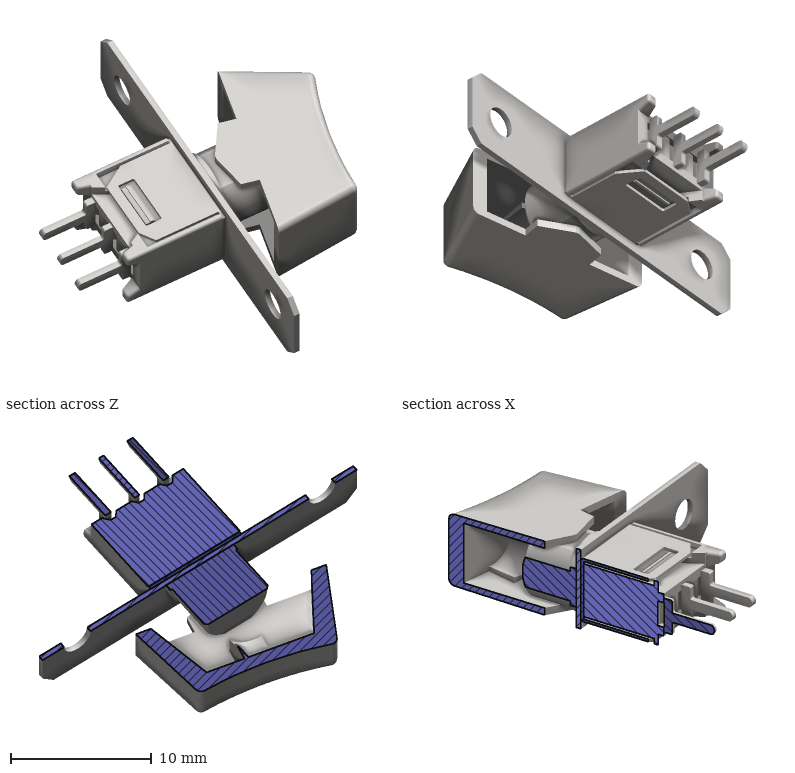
import cadquery as cq


PLATE_LENGTH = 27.8
PLATE_HEIGHT = 6.4
PLATE_THICKNESS = 0.45
PLATE_CORNER = 0.97
MOUNT_HOLE_DIAMETER = 2.3
MOUNT_HOLE_SPACING = 21.63

COLLAR_DIAMETER = 6.0
COLLAR_LENGTH = 0.5
BUSHING_DIAMETER = 5.67
BUSHING_FLATS = 4.67
BUSHING_TOP_Y = 4.95
BUSHING_CHAMFER = 0.22

CLIP_SHEET = 0.25
CLIP_HEIGHT = 5.12
CLIP_BEND_RADIUS = 0.22
WEB_LENGTH = 8.0
WEB_CORNER_HEIGHT = 0.25
FLAP_HALF_WIDTH = 3.48
FLAP_END_Y = -6.1
FLAP_TIP_HALF_WIDTH = 2.3
FLAP_LEFT_SHOULDER_Y = -4.3
FLAP_RIGHT_SHOULDER_Y = -5.35
WINDOW_WIDTH = 4.05
WINDOW_NEAR_Y = -4.03
WINDOW_FAR_Y = -5.35
WINDOW_CORNER = 0.15

HOUSING_LENGTH = 8.15
HOUSING_HEIGHT = 5.15
HOUSING_END_Y = -7.0
HOUSING_EDGE_RADIUS = 0.22
FLAP_RECESS_DEPTH = 0.42
FLAP_RECESS_TOP_HALF = 3.7
FLAP_RECESS_FLOOR_HALF = 3.55
FLAP_RECESS_END_Y = -6.17
END_NOTCH_DEPTH = 0.85
END_NOTCH_OUTER_HALF = 2.8
END_NOTCH_INNER_HALF = 1.78
END_NOTCH_INNER_Y = -5.2
FOOT_TIP_Y = -8.03
FOOT_BASE_SIZE = (1.15, 1.1)
FOOT_TIP_SIZE = (0.8, 0.72)
LATCH_START_Y = -4.28
LATCH_CREST_Y = -4.67
LATCH_CREST_END_Y = -4.85
LATCH_CREST_HEIGHT = 0.3
LATCH_STEP_HEIGHT = 0.2
SLOT_LENGTH = 6.12
SLOT_HEIGHT = 1.95
SLOT_DEPTH = 0.08
FUNNEL_WIDTH = 1.1
FUNNEL_FLOOR_WIDTH = 0.45
FUNNEL_DEPTH = 0.42

TERMINAL_OFFSET = 2.55
OUTER_TERMINAL_WIDTH = 0.53
MIDDLE_TERMINAL_WIDTH = 0.45
HEAD_HEIGHT = 2.78
HEAD_LENGTH = 0.72
HEAD_CHAMFER = 0.08
BLADE_HEIGHT = 0.78
BLADE_ROOT_RADIUS = 0.17
BLADE_TIP_Y = -11.31
BLADE_TIP_BULGE = 0.25

ROCKER_TILT = -12.5
ROCKER_RIM_Y = 4.15
RIM_HALF_LENGTH = 7.42
TOP_HALF_LENGTH = 5.37
TOP_CORNER_V = 6.6
TOP_MIDDLE_V = 6.05
TAB_HALF_LENGTH = 2.8
TAB_SHOULDER_V = -1.4
TAB_TIP_V = -2.42
TAB_TIP_WIDTH = 0.28
ROCKER_LOW_HALF_HEIGHT = 3.0
ROCKER_TOP_HALF_HEIGHT = 2.9
ROCKER_EDGE_RADIUS = 0.5
CAVITY_HALF_HEIGHT = 2.4
CAVITY_ROOF_V = 5.1
CAVITY_RIM_HALF_LENGTH = 6.23
CAVITY_ROOF_HALF_LENGTH = 4.17
HUB_HALF_LENGTH = 1.25
HUB_BOTTOM_V = 2.55
HUB_BORE_RADIUS = 2.0

HOUSING_TOP_Y = -CLIP_SHEET
HOUSING_HALF_LENGTH = HOUSING_LENGTH / 2
HOUSING_HALF_HEIGHT = HOUSING_HEIGHT / 2


def block(x_range, y_range, z_range):
    """Box given by its limits along X, Y and Z."""
    (x0, x1), (y0, y1), (z0, z1) = x_range, y_range, z_range
    return cq.Workplane("XY").box(x1 - x0, y1 - y0, z1 - z0, centered=False).translate((x0, y0, z0))


def y_plane(y):
    """Sketch plane facing +Y at the given Y; its directions are -X and +Z."""
    return cq.Workplane(cq.Plane(origin=(0, y, 0), xDir=(-1, 0, 0), normal=(0, 1, 0)))


def both_z_sides(feature):
    """The feature together with its mirror image in the Z = 0 plane."""
    return feature.union(feature.mirror("XY"))


def make_plate():
    plate = y_plane(0).rect(PLATE_LENGTH, PLATE_HEIGHT).extrude(PLATE_THICKNESS)
    plate = plate.edges("|Y").chamfer(PLATE_CORNER)
    half_spacing = MOUNT_HOLE_SPACING / 2
    holes = y_plane(0).pushPoints([(-half_spacing, 0), (half_spacing, 0)])
    return plate.cut(holes.circle(MOUNT_HOLE_DIAMETER / 2).extrude(PLATE_THICKNESS))


def make_bushing():
    collar = y_plane(PLATE_THICKNESS).circle(COLLAR_DIAMETER / 2).extrude(COLLAR_LENGTH)
    barrel_y = PLATE_THICKNESS + COLLAR_LENGTH
    barrel_length = BUSHING_TOP_Y - barrel_y
    barrel = y_plane(barrel_y).circle(BUSHING_DIAMETER / 2).extrude(barrel_length)
    barrel = barrel.faces(">Y").chamfer(BUSHING_CHAMFER)
    flats = y_plane(barrel_y).rect(BUSHING_DIAMETER, BUSHING_FLATS).extrude(barrel_length)
    return collar.union(barrel.intersect(flats))


def make_clip():
    """Web under the plate with one flap bent along each Z side of the housing."""
    half_web = WEB_LENGTH / 2
    half_height = CLIP_HEIGHT / 2
    low = half_height - WEB_CORNER_HEIGHT
    web_outline = [
        (-half_web, -low), (-FLAP_HALF_WIDTH, -half_height),
        (FLAP_HALF_WIDTH, -half_height), (half_web, -low),
        (half_web, low), (FLAP_HALF_WIDTH, half_height),
        (-FLAP_HALF_WIDTH, half_height), (-half_web, low),
    ]
    web = y_plane(-CLIP_SHEET).polyline(web_outline).close().extrude(CLIP_SHEET)
    flap_outline = [
        (-FLAP_HALF_WIDTH, 0), (-FLAP_HALF_WIDTH, FLAP_LEFT_SHOULDER_Y), (-FLAP_TIP_HALF_WIDTH, FLAP_END_Y),
        (FLAP_TIP_HALF_WIDTH, FLAP_END_Y), (FLAP_HALF_WIDTH, FLAP_RIGHT_SHOULDER_Y), (FLAP_HALF_WIDTH, 0),
    ]
    flap_bottom = cq.Workplane("XY").workplane(offset=half_height - CLIP_SHEET)
    flap = flap_bottom.polyline(flap_outline).close().extrude(CLIP_SHEET)
    half_window = WINDOW_WIDTH / 2
    window = block((-half_window, half_window), (WINDOW_FAR_Y, WINDOW_NEAR_Y), (0, half_height))
    flap = flap.cut(window.edges("|Z").fillet(WINDOW_CORNER))
    clip = web.union(both_z_sides(flap))
    return clip.edges(">Y").edges("|X").edges(">Z or <Z").fillet(CLIP_BEND_RADIUS)


def make_foot():
    """Tapered foot at the -X, +Z corner of the housing, rounded except along its innermost edge."""
    def section(y, size):
        width, height = size
        corner = y_plane(y).center(HOUSING_HALF_LENGTH, HOUSING_HALF_HEIGHT)
        return corner.polyline([(0, 0), (-width, 0), (-width, -height), (0, -height)]).close().wires().val()

    base = section(HOUSING_END_Y, FOOT_BASE_SIZE)
    tip = section(FOOT_TIP_Y, FOOT_TIP_SIZE)
    foot = cq.Solid.makeLoft([base, tip], True)
    innermost = (
        -HOUSING_HALF_LENGTH + (FOOT_BASE_SIZE[0] + FOOT_TIP_SIZE[0]) / 2,
        (HOUSING_END_Y + FOOT_TIP_Y) / 2,
        HOUSING_HALF_HEIGHT - (FOOT_BASE_SIZE[1] + FOOT_TIP_SIZE[1]) / 2,
    )
    rounded = cq.selectors.SubtractSelector(
        cq.selectors.StringSyntaxSelector("not >Y"), cq.selectors.NearestToPointSelector(innermost)
    )
    return cq.Workplane(foot).edges(rounded).fillet(HOUSING_EDGE_RADIUS)


def make_flap_recess():
    floor_z = HOUSING_HALF_HEIGHT - FLAP_RECESS_DEPTH
    outline = [
        (FLAP_RECESS_FLOOR_HALF, floor_z), (FLAP_RECESS_TOP_HALF, HOUSING_HALF_HEIGHT),
        (-FLAP_RECESS_TOP_HALF, HOUSING_HALF_HEIGHT), (-FLAP_RECESS_FLOOR_HALF, floor_z),
    ]
    start = y_plane(FLAP_RECESS_END_Y).polyline(outline).close()
    return start.extrude(HOUSING_TOP_Y - FLAP_RECESS_END_Y)


def make_end_notch():
    outline = [
        (-END_NOTCH_OUTER_HALF, HOUSING_END_Y), (-END_NOTCH_INNER_HALF, END_NOTCH_INNER_Y),
        (END_NOTCH_INNER_HALF, END_NOTCH_INNER_Y), (END_NOTCH_OUTER_HALF, HOUSING_END_Y),
    ]
    floor = cq.Workplane("XY").workplane(offset=HOUSING_HALF_HEIGHT - END_NOTCH_DEPTH)
    return floor.polyline(outline).close().extrude(END_NOTCH_DEPTH)


def make_latch():
    """Ramped latch in the window of the flap, flush with the inner wall of the end notch."""
    floor_z = HOUSING_HALF_HEIGHT - FLAP_RECESS_DEPTH
    crest_z = floor_z + LATCH_CREST_HEIGHT
    step_z = floor_z + LATCH_STEP_HEIGHT
    outline = [
        (LATCH_START_Y, floor_z), (LATCH_CREST_Y, crest_z), (LATCH_CREST_END_Y, crest_z),
        (LATCH_CREST_END_Y, step_z), (END_NOTCH_INNER_Y, step_z), (END_NOTCH_INNER_Y, floor_z),
    ]
    return cq.Workplane("YZ").polyline(outline).close().extrude(END_NOTCH_INNER_HALF, both=True)


def make_funnel(x):
    """Recess with sloping X sides around one terminal."""
    slot_floor_y = HOUSING_END_Y + SLOT_DEPTH
    outline = [
        (x - FUNNEL_WIDTH / 2, HOUSING_END_Y), (x - FUNNEL_WIDTH / 2, slot_floor_y),
        (x - FUNNEL_FLOOR_WIDTH / 2, slot_floor_y + FUNNEL_DEPTH),
        (x + FUNNEL_FLOOR_WIDTH / 2, slot_floor_y + FUNNEL_DEPTH),
        (x + FUNNEL_WIDTH / 2, slot_floor_y), (x + FUNNEL_WIDTH / 2, HOUSING_END_Y),
    ]
    return cq.Workplane("XY").polyline(outline).close().extrude(SLOT_HEIGHT / 2, both=True)


def make_housing():
    end_plane = y_plane(HOUSING_END_Y)
    housing = end_plane.rect(HOUSING_LENGTH, HOUSING_HEIGHT).extrude(HOUSING_TOP_Y - HOUSING_END_Y)
    housing = housing.edges("|Y").fillet(HOUSING_EDGE_RADIUS)
    foot = make_foot()
    housing = housing.union(both_z_sides(foot.union(foot.mirror("YZ"))))
    housing = housing.cut(both_z_sides(make_flap_recess()))
    housing = housing.cut(both_z_sides(make_end_notch()))
    housing = housing.union(both_z_sides(make_latch()))
    housing = housing.cut(end_plane.rect(SLOT_LENGTH, SLOT_HEIGHT).extrude(SLOT_DEPTH))
    funnel_offset = (SLOT_LENGTH - FUNNEL_WIDTH) / 2
    for x in (-funnel_offset, 0, funnel_offset):
        housing = housing.cut(make_funnel(x))
    return housing


def make_terminal(x, width):
    """T-shaped terminal: the head rests on the end of the housing, the blade points to -Y."""
    head_end_y = HOUSING_END_Y - HEAD_LENGTH
    x_range = (x - width / 2, x + width / 2)
    head = block(x_range, (head_end_y, HOUSING_END_Y), (-HEAD_HEIGHT / 2, HEAD_HEIGHT / 2))
    head = head.faces("<Y").edges("|X").chamfer(HEAD_CHAMFER)
    half_blade = BLADE_HEIGHT / 2
    arc_start_y = BLADE_TIP_Y + BLADE_TIP_BULGE
    blade = (
        cq.Workplane("YZ", origin=(x, 0, 0))
        .moveTo(head_end_y, half_blade)
        .lineTo(arc_start_y, half_blade)
        .threePointArc((BLADE_TIP_Y, 0), (arc_start_y, -half_blade))
        .lineTo(head_end_y, -half_blade)
        .close()
        .extrude(width / 2, both=True)
    )
    roots = cq.selectors.BoxSelector(
        (x - width, head_end_y - BLADE_ROOT_RADIUS, -BLADE_HEIGHT),
        (x + width, head_end_y + BLADE_ROOT_RADIUS, BLADE_HEIGHT),
    )
    return head.union(blade).edges("|X").edges(roots).fillet(BLADE_ROOT_RADIUS)


def make_rocker_shell():
    """Outside of the rocker: drafted on its Z sides, dished on top, with a pointed tab below each side."""
    outline = (
        cq.Workplane("XY")
        .moveTo(-RIM_HALF_LENGTH, 0)
        .lineTo(-TOP_HALF_LENGTH, TOP_CORNER_V)
        .threePointArc((0, TOP_MIDDLE_V), (TOP_HALF_LENGTH, TOP_CORNER_V))
        .lineTo(RIM_HALF_LENGTH, 0)
        .close()
    )
    draft_outline = [
        (TAB_TIP_V, -ROCKER_LOW_HALF_HEIGHT), (TOP_CORNER_V, -ROCKER_TOP_HALF_HEIGHT),
        (TOP_CORNER_V, ROCKER_TOP_HALF_HEIGHT), (TAB_TIP_V, ROCKER_LOW_HALF_HEIGHT),
    ]
    shell = outline.extrude(ROCKER_LOW_HALF_HEIGHT, both=True)
    drafted = cq.Workplane("YZ").polyline(draft_outline).close().extrude(RIM_HALF_LENGTH, both=True)
    shell = shell.intersect(drafted)
    shell = shell.edges("not <Y").fillet(ROCKER_EDGE_RADIUS)
    tab_outline = [
        (-TAB_HALF_LENGTH, 0), (-TAB_HALF_LENGTH, TAB_SHOULDER_V),
        (-TAB_TIP_WIDTH / 2, TAB_TIP_V), (TAB_TIP_WIDTH / 2, TAB_TIP_V),
        (TAB_HALF_LENGTH, TAB_SHOULDER_V), (TAB_HALF_LENGTH, 0),
    ]
    tabs = cq.Workplane("XY").polyline(tab_outline).close().extrude(ROCKER_LOW_HALF_HEIGHT, both=True)
    return shell.union(tabs.intersect(drafted))


def make_hub():
    """Block across the rocker cavity, bored in line with the bushing."""
    hub = block(
        (-HUB_HALF_LENGTH, HUB_HALF_LENGTH), (HUB_BOTTOM_V, CAVITY_ROOF_V),
        (-CAVITY_HALF_HEIGHT, CAVITY_HALF_HEIGHT),
    )
    bore = y_plane(0).circle(HUB_BORE_RADIUS).extrude(RIM_HALF_LENGTH, both=True)
    return hub.cut(bore.rotate((0, 0, 0), (0, 0, 1), -ROCKER_TILT))


def make_rocker():
    cavity_outline = [
        (-CAVITY_RIM_HALF_LENGTH, 0), (-CAVITY_ROOF_HALF_LENGTH, CAVITY_ROOF_V),
        (CAVITY_ROOF_HALF_LENGTH, CAVITY_ROOF_V), (CAVITY_RIM_HALF_LENGTH, 0),
        (TAB_HALF_LENGTH, TAB_TIP_V), (-TAB_HALF_LENGTH, TAB_TIP_V),
    ]
    cavity = cq.Workplane("XY").polyline(cavity_outline).close().extrude(CAVITY_HALF_HEIGHT, both=True)
    rocker = make_rocker_shell().cut(cavity.cut(make_hub()))
    return rocker.rotate((0, 0, 0), (0, 0, 1), ROCKER_TILT).translate((0, ROCKER_RIM_Y, 0))


plate = make_plate()
bushing = make_bushing()
clip = make_clip()
housing = make_housing()
terminals = [
    make_terminal(-TERMINAL_OFFSET, OUTER_TERMINAL_WIDTH),
    make_terminal(0, MIDDLE_TERMINAL_WIDTH),
    make_terminal(TERMINAL_OFFSET, OUTER_TERMINAL_WIDTH),
]
rocker = make_rocker()

result = cq.Compound.makeCompound(
    [plate.val(), bushing.val(), clip.val(), housing.val(), rocker.val()]
    + [terminal.val() for terminal in terminals]
)